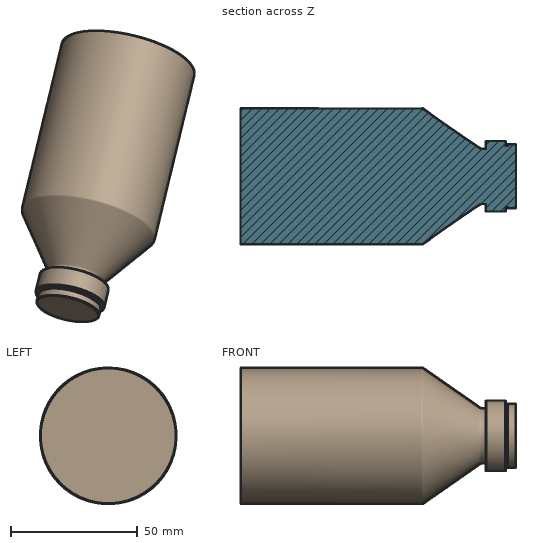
import cadquery as cq

body_length = 72.0
neck_start = 95.0
collar_start = 97.0
collar_end = 105.0
tip_start = 105.8
total_length = 109.0

body_radius = 27.0
neck_radius = 11.0
collar_radius = 14.0
groove_radius = 12.2
tip_radius = 12.7

edge_chamfer = 0.3
cone_fillet = 1.0


def circular_edges_at(solid, x, radius, tolerance=0.01):
    """Select the circular edges centred on the X axis at position x."""
    corner = radius + tolerance
    box = cq.selectors.BoxSelector(
        (x - tolerance, -corner, -corner),
        (x + tolerance, corner, corner),
        boundingbox=True,
    )
    return solid.edges(box)


def turned_blank():
    """Revolve the half profile of the bottle about the X axis."""
    profile = (
        cq.Workplane("XZ")
        .moveTo(0, 0)
        .lineTo(0, body_radius - edge_chamfer)
        .lineTo(edge_chamfer, body_radius)
        .lineTo(body_length, body_radius)
        .lineTo(neck_start, neck_radius)
        .lineTo(collar_start, neck_radius)
        .lineTo(collar_start, collar_radius - edge_chamfer)
        .lineTo(collar_start + edge_chamfer, collar_radius)
        .lineTo(collar_end - edge_chamfer, collar_radius)
        .lineTo(collar_end, collar_radius - edge_chamfer)
        .lineTo(collar_end, groove_radius)
        .lineTo(tip_start, groove_radius)
        .lineTo(tip_start, tip_radius)
        .lineTo(total_length - edge_chamfer, tip_radius)
        .lineTo(total_length, tip_radius - edge_chamfer)
        .lineTo(total_length, 0)
        .close()
    )
    return profile.revolve(360, (0, 0, 0), (1, 0, 0))


def blend_cone(solid):
    """Round the edges where the cone meets the body and the neck."""
    for x, radius in ((body_length, body_radius), (neck_start, neck_radius)):
        solid = circular_edges_at(solid, x, radius).fillet(cone_fillet)
    return solid


result = blend_cone(turned_blank())